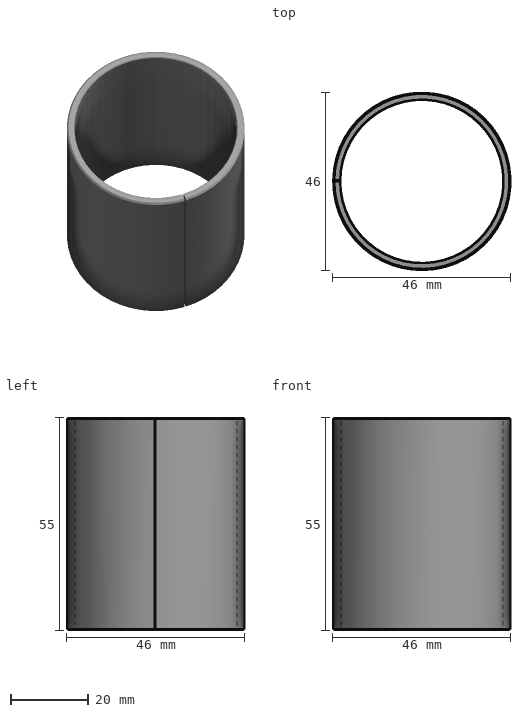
import cadquery as cq

height = 55.0
outer_diameter = 46.0
wall = 2.0

outer_chamfer = 0.45
inner_chamfer = 0.2

gap_angle = 1.0
gap_start_angle = 180.0

outer_radius = outer_diameter / 2
inner_radius = outer_radius - wall


def split_ring():
    """Revolve the chamfered wall section about Z, leaving the gap open."""
    section = [
        (inner_radius + inner_chamfer, 0),
        (outer_radius - outer_chamfer, 0),
        (outer_radius, outer_chamfer),
        (outer_radius, height - outer_chamfer),
        (outer_radius - outer_chamfer, height),
        (inner_radius + inner_chamfer, height),
        (inner_radius, height - inner_chamfer),
        (inner_radius, inner_chamfer),
    ]
    profile = cq.Workplane("XZ").polyline(section).close()
    ring = profile.revolve(360 - gap_angle, (0, 0, 0), (0, 1, 0))
    return ring.rotate((0, 0, 0), (0, 0, 1), gap_start_angle)


result = split_ring()